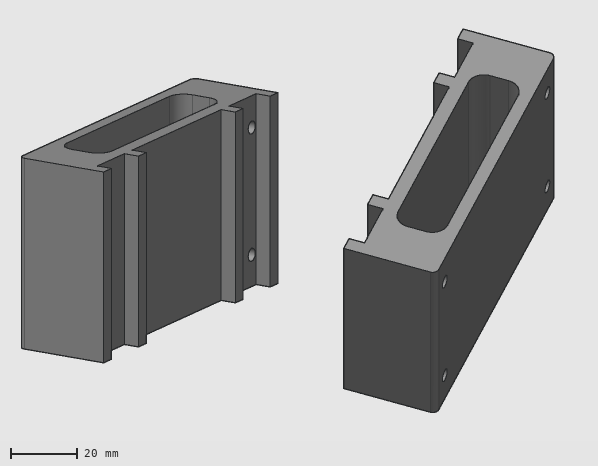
import cadquery as cq

length = 100.0
height = 60.0
body_depth = 25.0
edge_radius = 2.0

rail_depth = 5.0
rail_width = 4.5
inner_rail_offset = 20.0

pocket_front_wall = 4.3
pocket_width = 16.0
pocket_length = 68.8
pocket_radius = 5.0

hole_diameter = 4.0
hole_end_distance = 7.0
hole_edge_distance = 10.0


def make_body():
    """Block with its front vertical edges rounded."""
    block = cq.Workplane("XY").box(body_depth, length, height, centered=(False, True, False))
    return block.edges("|Z and <X").fillet(edge_radius)


def make_rail(outer_offset, side):
    """Full-height rail whose outer side lies outer_offset from one end of the block."""
    center_y = side * (length / 2 - outer_offset - rail_width / 2)
    return (
        cq.Workplane("XY")
        .box(rail_depth, rail_width, height, centered=(False, True, False))
        .translate((body_depth, center_y, 0))
    )


def make_pocket():
    """Rounded slot passing through the full height."""
    return (
        cq.Workplane("XY")
        .box(pocket_width, pocket_length, height, centered=(False, True, False))
        .edges("|Z")
        .fillet(pocket_radius)
        .translate((pocket_front_wall, 0, 0))
    )


def make_holes():
    """Four holes passing through both walls of the block."""
    return (
        cq.Workplane("YZ")
        .center(0, height / 2)
        .rect(length - 2 * hole_end_distance, height - 2 * hole_edge_distance, forConstruction=True)
        .vertices()
        .circle(hole_diameter / 2)
        .extrude(body_depth)
    )


result = make_body()
for side in (-1, 1):
    for outer_offset in (0, inner_rail_offset):
        result = result.union(make_rail(outer_offset, side))
result = result.cut(make_pocket()).cut(make_holes())